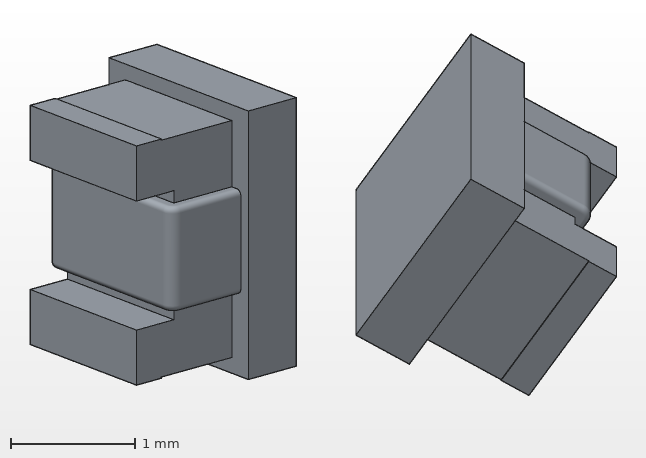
import cadquery as cq

plate_width = 1.73
plate_thickness = 0.51
plate_height = 2.29

depth = 1.52
back_y = depth / 2
plate_front_y = back_y - plate_thickness

core_width = 1.32
core_height = 2.02
core_depth = 1.125
core_front_y = back_y - core_depth

terminal_length = 0.265
terminal_step = 0.01
terminal_height = 0.47
terminal_back_y = -depth / 2 + terminal_length
terminal_top_z = core_height / 2 + terminal_step
terminal_inner_z = terminal_top_z - terminal_height

coil_width = 1.545
coil_height = 0.89
coil_depth = 1.245
coil_front_y = back_y - coil_depth
coil_corner_radius = 0.1
coil_edge_radius = 0.05


def block(width, y_front, y_back, z_bottom, z_top):
    """Box centred on X, spanning the given Y and Z limits."""
    size_y = y_back - y_front
    size_z = z_top - z_bottom
    centre = (0, (y_front + y_back) / 2, (z_bottom + z_top) / 2)
    return cq.Workplane("XY").box(width, size_y, size_z).translate(centre)


def make_coil():
    """Winding with rounded front corners and softened end edges."""
    coil = block(coil_width, coil_front_y, plate_front_y, -coil_height / 2, coil_height / 2)
    coil = coil.edges("|Z and <Y").fillet(coil_corner_radius)
    end_edges = coil.faces("|Z").edges("not(>Y)")
    return end_edges.fillet(coil_edge_radius)


def make_upper_terminal():
    """Leg extending forward from the core end, with the slightly taller terminal on its tip."""
    leg = block(core_width, terminal_back_y, core_front_y, terminal_inner_z, core_height / 2)
    terminal = block(core_width, -depth / 2, terminal_back_y, terminal_inner_z, terminal_top_z)
    return leg.union(terminal)


plate = block(plate_width, plate_front_y, back_y, -plate_height / 2, plate_height / 2)
core = block(core_width, core_front_y, plate_front_y, -core_height / 2, core_height / 2)
upper_terminal = make_upper_terminal()
lower_terminal = upper_terminal.mirror("XY")

result = plate.union(core).union(make_coil()).union(upper_terminal).union(lower_terminal)